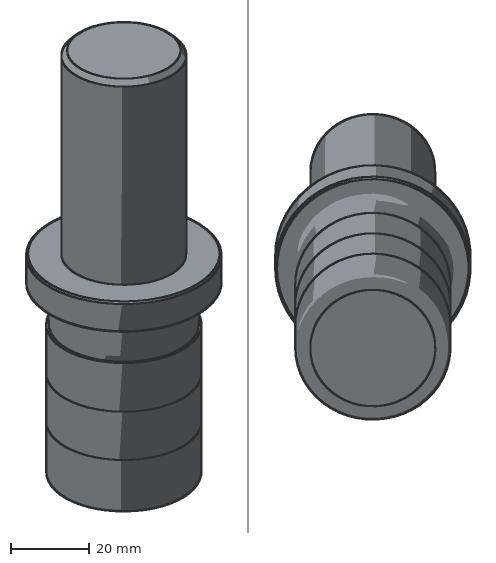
import cadquery as cq

total_length = 125.0
shank_radius = 32.0 / 2
shank_chamfer = 1.5

collar_radius = 50.0 / 2
collar_bottom = 56.0
collar_top = 65.0
collar_chamfer = 0.5

neck_radius = 38.6 / 2
neck_fillet = 1.9
neck_taper_length = 1.6
neck_taper_depth = 0.1

ring_radius = 39.8 / 2
ring_bottoms = [0.0, 15.5, 29.8]
ring_stack_top = 44.1
end_edge_radius = 0.8


def make_spindle():
    """Shank, collar, neck and spigot, turned as one solid about Z."""
    profile = (
        cq.Workplane("XZ")
        .lineTo(shank_radius, 0)
        .lineTo(shank_radius, ring_stack_top)
        .lineTo(neck_radius - neck_taper_depth, ring_stack_top)
        .lineTo(neck_radius, ring_stack_top + neck_taper_length)
        .lineTo(neck_radius, collar_bottom - neck_fillet)
        .radiusArc((neck_radius + neck_fillet, collar_bottom), neck_fillet)
        .lineTo(collar_radius - collar_chamfer, collar_bottom)
        .lineTo(collar_radius, collar_bottom + collar_chamfer)
        .lineTo(collar_radius, collar_top - collar_chamfer)
        .lineTo(collar_radius - collar_chamfer, collar_top)
        .lineTo(shank_radius, collar_top)
        .lineTo(shank_radius, total_length - shank_chamfer)
        .lineTo(shank_radius - shank_chamfer, total_length)
        .lineTo(0, total_length)
        .close()
    )
    return profile.revolve(360, (0, 0, 0), (0, 1, 0))


def make_ring(bottom, top):
    """Plain ring around the spigot."""
    return (
        cq.Workplane("XY", origin=(0, 0, bottom))
        .circle(ring_radius)
        .circle(shank_radius)
        .extrude(top - bottom)
    )


def round_end_edge(ring):
    """Round the outer edge at the bottom face of the lowest ring."""
    outer_edge = cq.selectors.RadiusNthSelector(-1)
    return ring.faces("<Z").edges(outer_edge).fillet(end_edge_radius)


spindle = make_spindle()

ring_tops = ring_bottoms[1:] + [ring_stack_top]
rings = [make_ring(bottom, top) for bottom, top in zip(ring_bottoms, ring_tops)]
rings[0] = round_end_edge(rings[0])

result = cq.Compound.makeCompound([spindle.val(), *[ring.val() for ring in rings]])